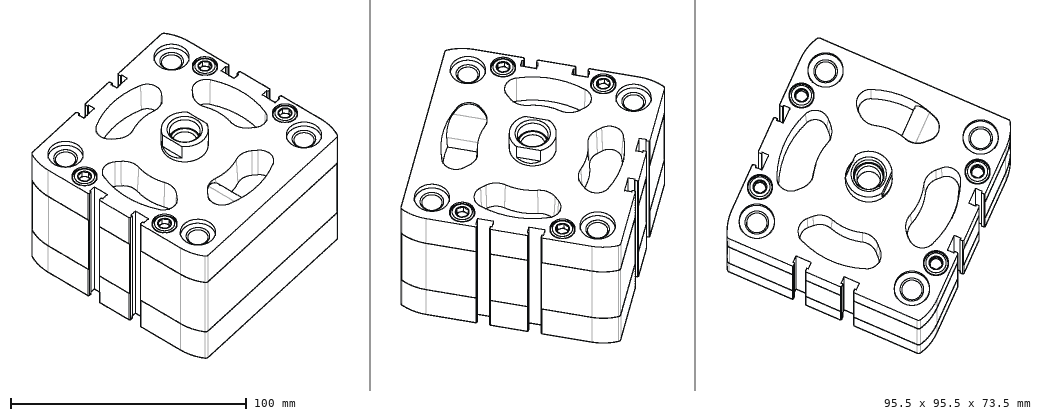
import cadquery as cq
import math

width = 95.5
body_height = 63.9
cap_height = 16.5
barrel_height = body_height - 2 * cap_height
barrel_width = 95.3
corner_start = 36.0
corner_radius = 22.9
corner_fillet = 1.4

slot_offset = 11.2
slot_mouth = 5.5
slot_inner = 7.1
slot_lip = 1.6
slot_chamfer = 0.4
slot_depth = 4.7

pocket_outer_radius = 39.1
pocket_inner_radius = 23.5
pocket_diagonal_gap = 6.6
pocket_outer_fillet = 6.0
pocket_inner_fillet = 8.0
pocket_depth = 14.5
pocket_draft = 3.0

boss_radius = 7.3
boss_axis_y = -11.7
boss_top_depth = 1.0

mount_offset = 36.0
mount_diameter = 8.6
mount_chamfer_diameter = 10.0
mount_counterbore_diameter = 15.0
mount_counterbore_depth = 2.5

screw_x = 21.8
screw_y = 40.9
screw_recess_diameter = 10.7
screw_head_diameter = 10.1
screw_face_diameter = 8.6
screw_recess_depth = 1.0
socket_across_flats = 5.0
hexagon_turn = 30.0
socket_depth = 2.9
socket_rim_diameter = 5.9
socket_rim_depth = 0.2
socket_tip_depth = 1.0

rod_diameter = 20.0
rod_projection = 9.55
rod_top = body_height + rod_projection
rod_flats = 17.0
flat_height = 7.1
shoulder_angle = 30.0
rod_bottom = cap_height
thread_mouth_diameter = 15.0
thread_recess_diameter = 13.0
thread_recess_depth = 6.0
thread_diameter = 12.0
thread_drill_diameter = 10.1
thread_depth = 17.2
drill_tip_angle = 118.0


def cone_between(lower_diameter, upper_diameter, height, base_z, x=0.0, y=0.0):
    return cq.Workplane(
        cq.Solid.makeCone(
            lower_diameter / 2, upper_diameter / 2, height, pnt=cq.Vector(x, y, base_z)
        )
    )


def disc(diameter, height, base_z, points):
    return cq.Workplane(origin=(0, 0, base_z)).pushPoints(points).circle(diameter / 2).extrude(height)


def block_section(size, height, base_z):
    """Square block with shallow arcs that run from the +-Y faces into the X faces."""
    half_size = size / 2
    run = half_size - corner_start
    center_y = half_size - corner_radius
    corner_y = center_y + math.sqrt(corner_radius**2 - run**2)
    half_angle = math.asin(run / corner_radius) / 2
    mid_x = corner_start + corner_radius * math.sin(half_angle)
    mid_y = center_y + corner_radius * math.cos(half_angle)
    return (
        cq.Workplane(origin=(0, 0, base_z))
        .moveTo(-corner_start, half_size)
        .lineTo(corner_start, half_size)
        .threePointArc((mid_x, mid_y), (half_size, corner_y))
        .lineTo(half_size, -corner_y)
        .threePointArc((mid_x, -mid_y), (corner_start, -half_size))
        .lineTo(-corner_start, -half_size)
        .threePointArc((-mid_x, -mid_y), (-half_size, -corner_y))
        .lineTo(-half_size, corner_y)
        .threePointArc((-mid_x, mid_y), (-corner_start, half_size))
        .close()
        .extrude(height)
        .edges("|Z and (<X or >X)")
        .fillet(corner_fillet)
    )


def t_slot():
    """Cutter for one T-slot that opens at the -Y face, centred on X = 0."""
    face_y = -width / 2
    mouth = cq.Workplane().box(slot_mouth, slot_depth, body_height, centered=(True, False, False))
    flare = (
        cq.Workplane()
        .moveTo(-slot_mouth / 2 - slot_chamfer, 0)
        .lineTo(slot_mouth / 2 + slot_chamfer, 0)
        .lineTo(slot_mouth / 2, slot_chamfer)
        .lineTo(-slot_mouth / 2, slot_chamfer)
        .close()
        .extrude(body_height)
    )
    chamber = (
        cq.Workplane()
        .box(slot_inner, slot_depth - slot_lip, body_height, centered=(True, False, False))
        .translate((0, slot_lip, 0))
    )
    return mouth.union(flare).union(chamber).translate((0, face_y, 0))


def kidney_outline(inset, z):
    """Pocket outline on the +X side, moved inwards by an inset, as a wire at height z."""
    gap = pocket_diagonal_gap + inset
    outer_radius = pocket_outer_radius - inset
    inner_radius = pocket_inner_radius + inset
    shift = gap / math.sqrt(2)

    def corner(radius):
        along = math.sqrt((radius**2 - gap**2) / 2)
        return along + shift, along - shift

    outer_x, outer_y = corner(outer_radius)
    inner_x, inner_y = corner(inner_radius)
    plate = (
        cq.Workplane(origin=(0, 0, z))
        .moveTo(inner_x, -inner_y)
        .lineTo(outer_x, -outer_y)
        .threePointArc((outer_radius, 0), (outer_x, outer_y))
        .lineTo(inner_x, inner_y)
        .threePointArc((inner_radius, 0), (inner_x, -inner_y))
        .close()
        .extrude(pocket_depth)
        .edges("|Z and <X")
        .fillet(pocket_inner_fillet - inset)
        .edges("|Z and (>Y or <Y)")
        .fillet(pocket_outer_fillet - inset)
    )
    return plate.faces("<Z").val().outerWire()


def kidney_pocket():
    """Drafted cutter for the pocket on the +X side, open at the top face."""
    inset = pocket_depth * math.tan(math.radians(pocket_draft))
    floor = kidney_outline(inset, body_height - pocket_depth)
    mouth = kidney_outline(0, body_height)
    return cq.Workplane(cq.Solid.makeLoft([floor, mouth], True))


def port_boss():
    """Block with one rounded upper edge, left standing in the +X pocket."""
    top = body_height - boss_top_depth
    floor = body_height - pocket_depth
    return (
        cq.Workplane("YZ")
        .moveTo(-width / 2, floor)
        .lineTo(boss_axis_y + boss_radius, floor)
        .lineTo(boss_axis_y + boss_radius, top - boss_radius)
        .radiusArc((boss_axis_y, top), -boss_radius)
        .lineTo(-width / 2, top)
        .close()
        .extrude(width / 2)
    )


def mounting_hole(x, y):
    """Cutter for a through hole with a chamfer at the seat of its counterbore."""
    seat = body_height - mount_counterbore_depth
    chamfer = (mount_chamfer_diameter - mount_diameter) / 2
    return (
        disc(mount_diameter, body_height, 0, [(x, y)])
        .union(cone_between(mount_diameter, mount_chamfer_diameter, chamfer, seat - chamfer, x, y))
        .union(disc(mount_counterbore_diameter, mount_counterbore_depth, seat, [(x, y)]))
    )


def screw_head(x, y):
    """Chamfered head that fills most of its recess."""
    chamfer = (screw_head_diameter - screw_face_diameter) / 2
    head = disc(screw_head_diameter, screw_recess_depth, body_height - screw_recess_depth, [(x, y)])
    return head.faces(">Z").edges().chamfer(chamfer)


def screw_socket(x, y):
    """Cutter for a hexagon socket with a chamfered rim and a conical bottom."""
    corner_diameter = socket_across_flats / math.cos(math.pi / 6)
    bottom = body_height - socket_depth
    hexagon = (
        cq.Workplane()
        .polygon(6, corner_diameter)
        .extrude(socket_depth)
        .rotate((0, 0, 0), (0, 0, 1), hexagon_turn)
        .translate((x, y, bottom))
    )
    rim_bottom = body_height - socket_rim_depth
    rim = cone_between(socket_across_flats, socket_rim_diameter, socket_rim_depth, rim_bottom, x, y)
    tip = cone_between(0, socket_across_flats, socket_tip_depth, bottom - socket_tip_depth, x, y)
    return hexagon.union(rim).union(tip)


def make_housing():
    housing = (
        block_section(width, cap_height, 0)
        .union(block_section(barrel_width, barrel_height, cap_height))
        .union(block_section(width, cap_height, body_height - cap_height))
    )

    for side_angle in (0, 180, -90):
        for offset in (-slot_offset, slot_offset):
            slot = t_slot().translate((offset, 0, 0))
            housing = housing.cut(slot.rotate((0, 0, 0), (0, 0, 1), side_angle))

    pocket = kidney_pocket()
    housing = housing.cut(pocket.cut(port_boss()))
    for angle in (90, 180, 270):
        housing = housing.cut(pocket.rotate((0, 0, 0), (0, 0, 1), angle))

    for side_x in (-1, 1):
        for side_y in (-1, 1):
            housing = housing.cut(mounting_hole(side_x * mount_offset, side_y * mount_offset))
            x = side_x * screw_x
            y = side_y * screw_y
            recess = disc(
                screw_recess_diameter, screw_recess_depth, body_height - screw_recess_depth, [(x, y)]
            )
            housing = housing.cut(recess).union(screw_head(x, y)).cut(screw_socket(x, y))

    return housing.cut(disc(rod_diameter, body_height - rod_bottom, rod_bottom, [(0, 0)]))


def wrench_flat():
    """Cutter for the flat on the +Y side, with its sloping shoulder."""
    flat_y = rod_flats / 2
    flat_bottom = rod_top - flat_height
    outer_y = rod_diameter
    drop = (outer_y - flat_y) * math.tan(math.radians(shoulder_angle))
    return (
        cq.Workplane("YZ")
        .moveTo(flat_y, rod_top)
        .lineTo(flat_y, flat_bottom)
        .lineTo(outer_y, flat_bottom - drop)
        .lineTo(outer_y, rod_top)
        .close()
        .extrude(rod_diameter, both=True)
    )


def threaded_hole():
    """Cutter for the end hole: flared mouth, clearance recess, tapping bore and drill tip."""
    mouth_chamfer = (thread_mouth_diameter - thread_recess_diameter) / 2
    thread_top = rod_top - thread_recess_depth
    thread_chamfer = (thread_diameter - thread_drill_diameter) / 2
    drill_bottom = rod_top - thread_depth
    tip = thread_drill_diameter / 2 / math.tan(math.radians(drill_tip_angle / 2))
    return (
        cq.Workplane("XZ")
        .moveTo(0, rod_top)
        .lineTo(thread_mouth_diameter / 2, rod_top)
        .lineTo(thread_recess_diameter / 2, rod_top - mouth_chamfer)
        .lineTo(thread_recess_diameter / 2, thread_top)
        .lineTo(thread_diameter / 2, thread_top)
        .lineTo(thread_drill_diameter / 2, thread_top - thread_chamfer)
        .lineTo(thread_drill_diameter / 2, drill_bottom)
        .lineTo(0, drill_bottom - tip)
        .close()
        .revolve()
    )


def make_rod():
    rod = disc(rod_diameter, rod_top - rod_bottom, rod_bottom, [(0, 0)])
    flat = wrench_flat()
    return rod.cut(flat).cut(flat.mirror("XZ")).cut(threaded_hole())


housing = make_housing()
rod = make_rod()
result = cq.Compound.makeCompound([housing.val(), rod.val()])